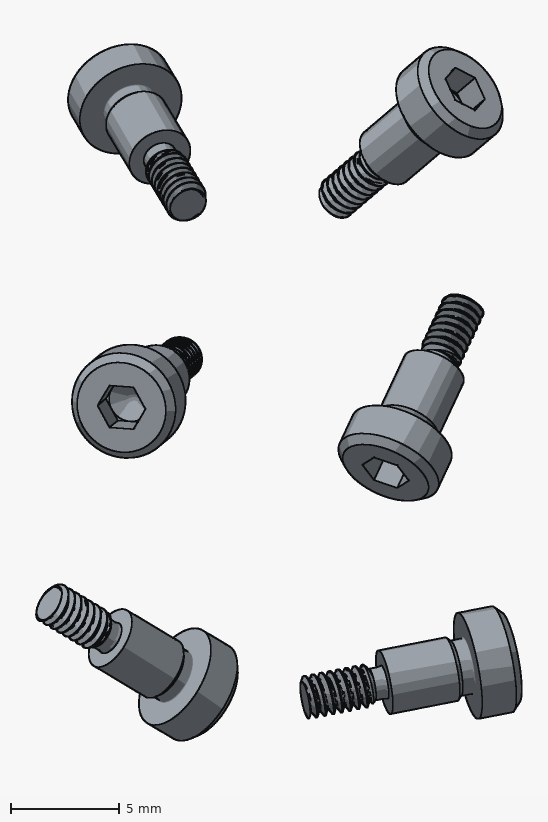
import cadquery as cq
import math

total_length = 9.8
head_length = 2.0
shoulder_end = 6.0
thread_start = 6.6

head_diameter = 5.0
head_chamfer = 0.36
socket_flats = 2.0
socket_depth = 1.35
socket_tip_angle = 120.0

shoulder_diameter = 3.0
shoulder_chamfer = 0.2
relief_end = 2.6
relief_fillet = 0.07
neck_diameter = 1.5
neck_taper_length = 0.15
neck_taper_rise = 0.04

thread_diameter = 2.0
pitch = thread_diameter / 5
crest_width = pitch / 8
flank_half_angle = 30.0
crest_at_top = 7.18
flank_steps = 6
envelope_clearance = 0.1
root_step = 0.005

head_radius = head_diameter / 2
shoulder_radius = shoulder_diameter / 2
relief_radius = shoulder_radius - shoulder_chamfer
neck_radius = neck_diameter / 2
thread_radius = thread_diameter / 2


def make_body():
    """Revolved head, shoulder and necks, up to the start of the thread."""
    return (
        cq.Workplane("XY")
        .lineTo(0, head_radius - head_chamfer)
        .lineTo(head_chamfer, head_radius)
        .lineTo(head_length, head_radius)
        .lineTo(head_length, relief_radius + relief_fillet)
        .radiusArc((head_length + relief_fillet, relief_radius), -relief_fillet)
        .lineTo(relief_end, relief_radius)
        .lineTo(relief_end + shoulder_chamfer, shoulder_radius)
        .lineTo(shoulder_end, shoulder_radius)
        .lineTo(shoulder_end, neck_radius + neck_taper_rise)
        .lineTo(shoulder_end + neck_taper_length, neck_radius)
        .lineTo(thread_start, neck_radius)
        .lineTo(thread_start, 0)
        .close()
        .revolve(360, (0, 0, 0), (1, 0, 0))
    )


def make_socket():
    """Hexagonal recess ending in a conical floor."""
    hexagon = (
        cq.Workplane("YZ")
        .polygon(6, socket_flats / math.cos(math.pi / 6))
        .extrude(socket_depth)
    )
    tip_radius = socket_flats / 2
    tip_depth = tip_radius / math.tan(math.radians(socket_tip_angle / 2))
    tip = cq.Solid.makeCone(
        tip_radius, 0, tip_depth, cq.Vector(socket_depth, 0, 0), cq.Vector(1, 0, 0)
    )
    return hexagon.union(cq.Workplane(obj=tip))


def make_thread_section():
    """Cross-section of the thread: crest and root arcs joined by two spiral flanks.

    The crest is centred on the +X direction of the section.
    """
    root_radius = neck_radius + root_step
    flank_run = (thread_radius - root_radius) * math.tan(math.radians(flank_half_angle))
    crest_angle = math.pi * crest_width / pitch
    flank_angle = 2 * math.pi * flank_run / pitch

    def polar(radius, angle):
        return (radius * math.cos(angle), radius * math.sin(angle))

    def flank(side):
        """Spiral from crest to root on the given side (+1 or -1)."""
        def point(t):
            radius = thread_radius + t * (root_radius - thread_radius)
            return polar(radius, side * (crest_angle + t * flank_angle))
        return [point(i / flank_steps) for i in range(flank_steps + 1)]

    upper = flank(1)
    lower = flank(-1)
    return (
        cq.Workplane("XY")
        .moveTo(*lower[0])
        .threePointArc((thread_radius, 0), upper[0])
        .spline(upper[1:], includeCurrent=True)
        .threePointArc((-root_radius, 0), lower[-1])
        .spline(lower[-2::-1], includeCurrent=True)
        .close()
    )


def make_thread():
    """Right-handed threaded rod with a 45 degree lead-in at its start."""
    thread_length = total_length - thread_start
    start_angle = 180 - 360 * (crest_at_top - thread_start) / pitch
    rod = (
        make_thread_section()
        .twistExtrude(thread_length, 360 * thread_length / pitch)
        .rotate((0, 0, 0), (0, 0, 1), start_angle)
        .rotate((0, 0, 0), (0, 1, 0), 90)
        .translate((thread_start, 0, 0))
    )

    lead_in_end = thread_start + thread_radius - neck_radius + envelope_clearance
    envelope_radius = thread_radius + envelope_clearance
    envelope_end = total_length + envelope_clearance
    envelope = (
        cq.Workplane("XY")
        .moveTo(thread_start, 0)
        .lineTo(thread_start, neck_radius)
        .lineTo(lead_in_end, envelope_radius)
        .lineTo(envelope_end, envelope_radius)
        .lineTo(envelope_end, 0)
        .close()
        .revolve(360, (0, 0, 0), (1, 0, 0))
    )
    return rod.intersect(envelope)


result = make_body().cut(make_socket()).union(make_thread())